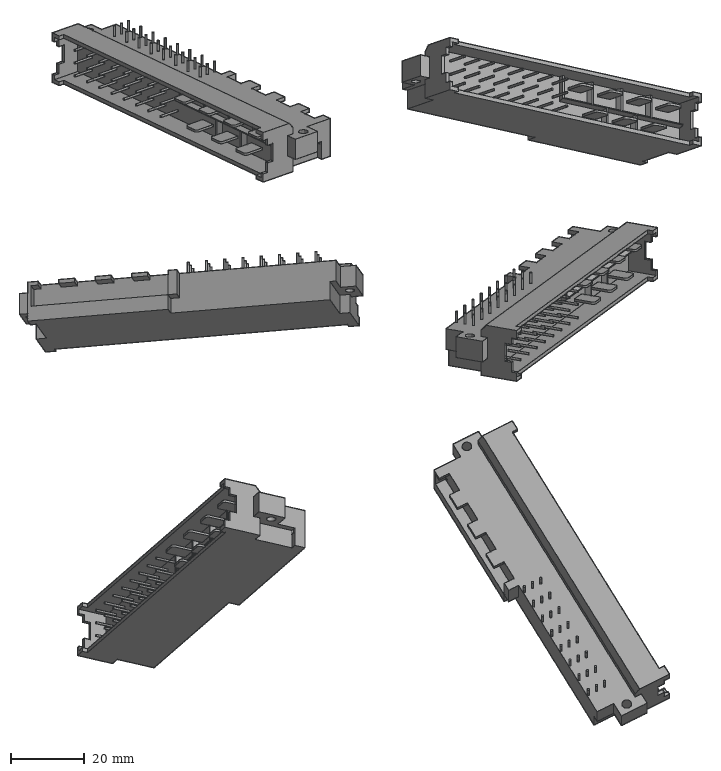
import cadquery as cq
length = 93.85
depth = 25.0
height = 14.7

shroud_inset = 3.2
shroud_depth = 10.7
shroud_chamfer_y = 1.4
shroud_chamfer_z = 1.6
side_wall = 1.1
end_wall = 0.9
cavity_depth = 8.3

tab_length = 1.6
tab_width = 2.9
tab_height = 2.4
window_depth = 3.6
window_bottom = 5.3
window_top = 10.4

body_inset = 4.3
body_rear = 21.9
body_top = 11.3
body_bottom = 5.3
foot_inset = 6.0

flange_front = 8.7
flange_rear = 16.7
screw_hole_diameter = 2.5
screw_hole_inset = 2.4
screw_hole_y = 13.7

pin_diameter = 0.6
pin_columns = 8
first_pin_x = 10.0
pin_row_span = 35.6
pin_pitch = pin_row_span / (pin_columns - 1)
pin_tip_y = 2.2
pin_heights = [3.6, 7.4, 11.2]
tail_rows = [16.3, 18.9, 21.4]
tail_top = 14.4
root_length = 0.9
contact_root_y = cavity_depth + root_length

blade_pitch = 2 * pin_pitch
blade_width = 4.4
blade_thickness = 0.7
blade_corner_radius = 1.8 / 2
upper_blades = 4
lower_blades = 3
first_upper_blade_x = 53.1
first_lower_blade_x = first_upper_blade_x + pin_pitch
upper_blade_z = 10.7
lower_blade_z = 4.1

rib_height = 1.5
rib_crest = 0.6
shelf_crest = 0.3
rib_draft = 0.6
first_rib_x = 48.1
first_lower_rib_x = first_rib_x + 3 * pin_pitch
shelf_z = 7.3

block_left = 48.0
roof_thickness = 1.1
lower_block_height = 4.2
notch_width = 5.7
notch_offset = 2.4


def box(x_range, y_range, z_range):
    """Box between the given pairs of limits."""
    (x0, x1), (y0, y1), (z0, z1) = x_range, y_range, z_range
    return cq.Workplane("XY").box(x1 - x0, y1 - y0, z1 - z0, centered=False).translate((x0, y0, z0))


def centred_range(inset):
    """X limits that keep the same distance from both ends."""
    return (inset, length - inset)


def make_housing():
    shroud = (
        cq.Workplane("YZ")
        .polyline([
            (0, 0),
            (shroud_depth, 0),
            (shroud_depth, height - shroud_chamfer_z),
            (shroud_depth - shroud_chamfer_y, height),
            (0, height),
        ])
        .close()
        .extrude(length - 2 * shroud_inset)
        .translate((shroud_inset, 0, 0))
    )
    behind_cavity = (cavity_depth, body_rear)
    body = box(centred_range(body_inset), behind_cavity, (body_bottom, body_top))
    foot = box(centred_range(foot_inset), behind_cavity, (0, body_bottom))
    flange = box((0, length), (flange_front, flange_rear), (body_bottom, body_top))
    screw_holes = (
        cq.Workplane("XY")
        .pushPoints([(x, screw_hole_y) for x in centred_range(screw_hole_inset)])
        .circle(screw_hole_diameter / 2)
        .extrude(height)
    )
    return shroud.union(body).union(foot).union(flange).cut(screw_holes)


def make_mating_openings():
    cavity = box(
        centred_range(shroud_inset + end_wall), (0, cavity_depth), (side_wall, height - side_wall)
    )
    between_tabs = box(centred_range(shroud_inset + tab_width), (0, tab_length), (0, height))
    end_recess = box((0, length), (0, tab_length), (tab_height, height - tab_height))
    end_window = box((0, length), (0, window_depth), (window_bottom, window_top))
    return cavity.union(between_tabs).union(end_recess).union(end_window)


def make_rear_block():
    right = length - body_inset
    behind_body = (body_rear, depth)
    first_notch_x = block_left + notch_offset
    block = box((block_left, right), behind_body, (0, body_top))
    block = block.cut(box((block_left, first_notch_x), behind_body, (0, lower_block_height)))
    block = block.cut(
        box((first_notch_x, right - end_wall), behind_body, (lower_block_height, body_top - roof_thickness))
    )
    for i in range(upper_blades):
        notch_x = first_notch_x + i * blade_pitch
        block = block.cut(
            box((notch_x, notch_x + notch_width), behind_body, (lower_block_height, body_top))
        )
    return block


def make_signal_pins():
    columns = [first_pin_x + i * pin_pitch for i in range(pin_columns)]
    radius = pin_diameter / 2
    contacts = (
        cq.Workplane("XZ", origin=(0, pin_tip_y, 0))
        .pushPoints([(x, z) for x in columns for z in pin_heights])
        .circle(radius)
        .extrude(pin_tip_y - contact_root_y)
    )
    tails = (
        cq.Workplane("XY", origin=(0, 0, body_top - root_length))
        .pushPoints([(x, y) for x in columns for y in tail_rows])
        .circle(radius)
        .extrude(tail_top - body_top + root_length)
    )
    return contacts, tails


def make_blades(first_x, count, z):
    blade_length = contact_root_y - pin_tip_y
    centres = [(first_x + i * blade_pitch, pin_tip_y + blade_length / 2) for i in range(count)]
    return (
        cq.Workplane("XY", origin=(0, 0, z - blade_thickness / 2))
        .pushPoints(centres)
        .rect(blade_width, blade_length)
        .extrude(blade_thickness)
        .faces("<Y")
        .edges("|Z")
        .fillet(blade_corner_radius)
    )


def drafted_rib(left_draft, right_draft):
    """XY outline of an upright rib, centred on its crest, with its base on the cavity floor."""
    half_crest = rib_crest / 2
    crest_y = cavity_depth - rib_height
    return (
        cq.Workplane("XY")
        .polyline([
            (-half_crest - left_draft, cavity_depth),
            (-half_crest, crest_y),
            (half_crest, crest_y),
            (half_crest + right_draft, cavity_depth),
        ])
        .close()
    )


def make_ribs():
    cavity_right = length - shroud_inset - end_wall
    shelf_left = first_rib_x - rib_crest / 2
    upper_height = height - side_wall - shelf_z
    lower_height = shelf_z - side_wall
    half_crest = shelf_crest / 2
    crest_y = cavity_depth - rib_height
    ribs = (
        cq.Workplane("YZ")
        .polyline([
            (cavity_depth, shelf_z - half_crest - rib_draft),
            (crest_y, shelf_z - half_crest),
            (crest_y, shelf_z + half_crest),
            (cavity_depth, shelf_z + half_crest + rib_draft),
        ])
        .close()
        .extrude(cavity_right - shelf_left)
        .translate((shelf_left, 0, 0))
    )
    for i in range(upper_blades):
        left_draft = rib_draft if i > 0 else 0
        rib = drafted_rib(left_draft, rib_draft).extrude(upper_height)
        ribs = ribs.union(rib.translate((first_rib_x + i * blade_pitch, 0, shelf_z)))
    for i in range(lower_blades - 1):
        rib = drafted_rib(rib_draft, rib_draft).extrude(lower_height)
        ribs = ribs.union(rib.translate((first_lower_rib_x + i * blade_pitch, 0, side_wall)))
    return ribs


contacts, tails = make_signal_pins()

result = (
    make_housing()
    .cut(make_mating_openings())
    .union(make_rear_block())
    .union(make_ribs())
    .union(contacts)
    .union(tails)
    .union(make_blades(first_upper_blade_x, upper_blades, upper_blade_z))
    .union(make_blades(first_lower_blade_x, lower_blades, lower_blade_z))
)